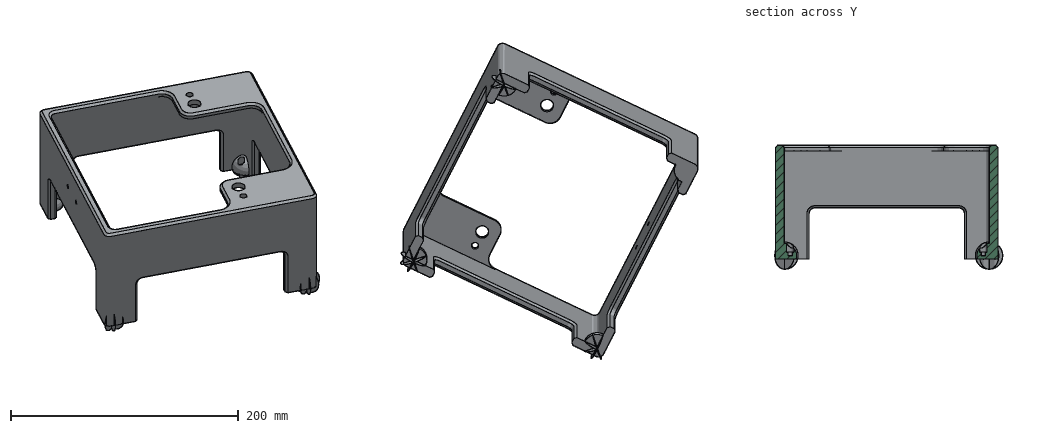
import cadquery as cq
import math

OVERALL_SIDE = 200.5
BODY_HEIGHT = 100.0

BALL_RADIUS = 12.0
BALL_CENTRE_HEIGHT = 3.0
FIN_THICKNESS = 0.2
FIN_STEP_ANGLE = 45

WALL = 8.0
PLATE_THICKNESS = 5.0
EDGE_CHAMFER = 2.0
OUTER_CORNER_RADIUS = 5.0
INNER_CORNER_RADIUS = 5.0

SQUARE_OVERHANG = BALL_RADIUS - WALL
DIAGONAL_OVERHANG = (BALL_RADIUS + FIN_THICKNESS / 2) / math.sqrt(2) - WALL
BODY_SIDE = OVERALL_SIDE - SQUARE_OVERHANG - DIAGONAL_OVERHANG
HALF_BODY = BODY_SIDE / 2
HALF_CAVITY = HALF_BODY - WALL

NARROW_HALF_WIDTH = 50.0
SHELF_FRONT_Y = 20.0
SHELF_CORNER_RADIUS = 10.0

LEG_GAP_HALF_WIDTH = 68.2
LEG_GAP_HEIGHT = 45.0
LEG_GAP_RADIUS = 5.0

SHELF_HOLE_Y = 35.3
LARGE_HOLE_DIAMETER = 11.2
LARGE_HOLE_X = 64.3
SMALL_HOLE_DIAMETER = 6.0
SMALL_HOLE_X = 78.4
FRONT_HOLE_DIAMETER = 3.5
FRONT_HOLE_X = 12.0
FRONT_HOLE_HEIGHT = 76.0
BALL_HOLE_DIAMETER = 6.0
BALL_HOLE_INSET = 5.0
BALL_HOLE_STEP_HEIGHT = 6.0
BALL_PILOT_DIAMETER = 3.5
BALL_PILOT_FLOOR_HEIGHT = 3.0


def make_block():
    """Solid square block with rounded upright edges."""
    return (
        cq.Workplane("XY")
        .rect(BODY_SIDE, BODY_SIDE)
        .extrude(BODY_HEIGHT)
        .edges("|Z")
        .fillet(OUTER_CORNER_RADIUS)
    )


def make_shell():
    """Block with a chamfered top rim, hollowed from below to leave walls and a top plate."""
    outside = make_block().faces(">Z").edges().chamfer(EDGE_CHAMFER)
    cavity = (
        cq.Workplane("XY")
        .rect(2 * HALF_CAVITY, 2 * HALF_CAVITY)
        .extrude(BODY_HEIGHT - PLATE_THICKNESS)
        .edges("|Z")
        .fillet(INNER_CORNER_RADIUS)
    )
    return outside.cut(cavity)


def cut_top_opening(shell):
    """Cut the T-shaped opening through the plate and chamfer its upper rim."""
    opening = (
        cq.Workplane("XY", origin=(0, 0, BODY_HEIGHT - PLATE_THICKNESS))
        .moveTo(-HALF_CAVITY, -HALF_CAVITY)
        .lineTo(HALF_CAVITY, -HALF_CAVITY)
        .lineTo(HALF_CAVITY, SHELF_FRONT_Y)
        .lineTo(NARROW_HALF_WIDTH, SHELF_FRONT_Y)
        .lineTo(NARROW_HALF_WIDTH, HALF_CAVITY)
        .lineTo(-NARROW_HALF_WIDTH, HALF_CAVITY)
        .lineTo(-NARROW_HALF_WIDTH, SHELF_FRONT_Y)
        .lineTo(-HALF_CAVITY, SHELF_FRONT_Y)
        .close()
        .extrude(PLATE_THICKNESS)
    )
    back_half = cq.selectors.BoxSelector((-BODY_SIDE, 0, 0), (BODY_SIDE, BODY_SIDE, BODY_HEIGHT))
    opening = opening.edges("|Z and <Y").fillet(INNER_CORNER_RADIUS)
    opening = opening.edges("|Z").edges(back_half).fillet(SHELF_CORNER_RADIUS)

    rim_reach = HALF_CAVITY + EDGE_CHAMFER / 2
    rim = cq.selectors.BoxSelector(
        (-rim_reach, -rim_reach, 0),
        (rim_reach, rim_reach, BODY_HEIGHT + EDGE_CHAMFER),
    )
    return shell.cut(opening).faces(">Z").edges(rim).chamfer(EDGE_CHAMFER)


def make_leg_gap():
    """Cutter for the gap in the -Y wall, flared at both faces to chamfer its edges."""

    def gap_outline(y, margin):
        return (
            cq.Workplane("XZ", origin=(0, y, 0))
            .sketch()
            .rect(2 * (LEG_GAP_HALF_WIDTH + margin), 2 * (LEG_GAP_HEIGHT + margin))
            .vertices()
            .fillet(LEG_GAP_RADIUS + margin)
            .finalize()
        )

    straight = gap_outline(-HALF_CAVITY, 0).extrude(WALL)
    outer_flare = gap_outline(-HALF_BODY, EDGE_CHAMFER).extrude(-EDGE_CHAMFER, taper=45)
    inner_flare = gap_outline(-HALF_CAVITY, EDGE_CHAMFER).extrude(EDGE_CHAMFER, taper=45)
    return straight.union(outer_flare).union(inner_flare)


def make_plate_holes():
    """A large and a small through hole in each shelf."""
    large = (
        cq.Workplane("XY")
        .pushPoints([(-LARGE_HOLE_X, SHELF_HOLE_Y), (LARGE_HOLE_X, SHELF_HOLE_Y)])
        .circle(LARGE_HOLE_DIAMETER / 2)
        .extrude(BODY_HEIGHT)
    )
    small = (
        cq.Workplane("XY")
        .pushPoints([(-SMALL_HOLE_X, SHELF_HOLE_Y), (SMALL_HOLE_X, SHELF_HOLE_Y)])
        .circle(SMALL_HOLE_DIAMETER / 2)
        .extrude(BODY_HEIGHT)
    )
    return large.union(small)


def make_front_holes():
    """Pair of small holes through the -Y wall."""
    return (
        cq.Workplane("XZ", origin=(0, -HALF_CAVITY, 0))
        .pushPoints([(-FRONT_HOLE_X, FRONT_HOLE_HEIGHT), (FRONT_HOLE_X, FRONT_HOLE_HEIGHT)])
        .circle(FRONT_HOLE_DIAMETER / 2)
        .extrude(WALL)
    )


def fin_fan(first_angle, last_angle):
    """Evenly stepped fin directions in degrees, anticlockwise from +X, both ends included."""
    return range(first_angle, last_angle + FIN_STEP_ANGLE, FIN_STEP_ANGLE)


def make_foot(side_x, side_y, fin_angles):
    """Ball at the inner corner of a leg, whole inside the walls and cut down to fins elsewhere.

    The fins are thin upright half discs that fan out from the ball centre. A stepped blind
    hole enters the ball from above.
    """
    centre_x = side_x * HALF_CAVITY
    centre_y = side_y * HALF_CAVITY
    kept = make_block()
    for angle in fin_angles:
        slab = (
            cq.Workplane("XY")
            .box(BALL_RADIUS * 2, FIN_THICKNESS, BALL_RADIUS * 4, centered=(False, True, True))
            .rotate((0, 0, 0), (0, 0, 1), angle)
            .translate((centre_x, centre_y, BALL_CENTRE_HEIGHT))
        )
        kept = kept.union(slab)

    ball = cq.Workplane("XY", origin=(centre_x, centre_y, BALL_CENTRE_HEIGHT)).sphere(BALL_RADIUS)
    hole_x = centre_x - side_x * BALL_HOLE_INSET
    hole_y = centre_y - side_y * BALL_HOLE_INSET
    hole = cq.Workplane("XY", origin=(hole_x, hole_y, BALL_HOLE_STEP_HEIGHT))
    hole = hole.circle(BALL_HOLE_DIAMETER / 2).extrude(BALL_RADIUS)
    pilot = cq.Workplane("XY", origin=(hole_x, hole_y, BALL_PILOT_FLOOR_HEIGHT))
    pilot = pilot.circle(BALL_PILOT_DIAMETER / 2).extrude(BALL_RADIUS)
    return ball.intersect(kept).cut(hole).cut(pilot)


result = cut_top_opening(make_shell())

leg_gap = make_leg_gap()
for quarter_turn in range(4):
    result = result.cut(leg_gap.rotate((0, 0, 0), (0, 0, 1), 90 * quarter_turn))

result = result.cut(make_plate_holes()).cut(make_front_holes())

result = result.union(make_foot(-1, -1, ()))
result = result.union(make_foot(1, -1, fin_fan(-45, 180)))
result = result.union(make_foot(-1, 1, fin_fan(-90, 135)))
result = result.union(make_foot(1, 1, fin_fan(0, 315)))